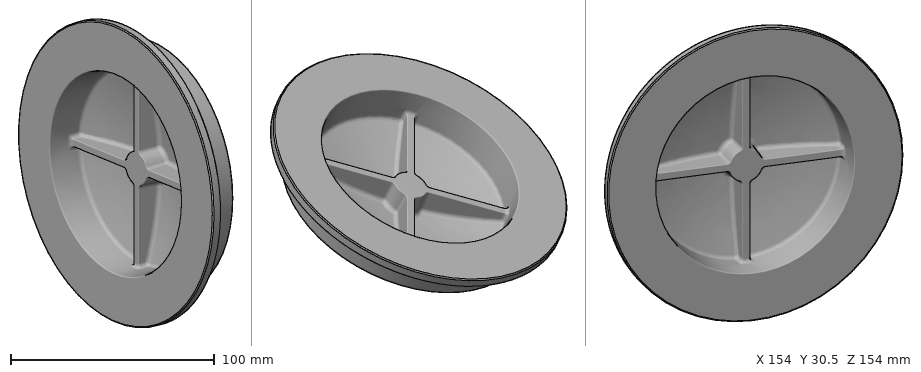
import cadquery as cq
import math


flange_radius = 77.0
flange_height = 4.8
flange_face_chamfer = 0.6
flange_shoulder_round = 1.5

drum_foot_radius = 65.3
drum_foot_height = 12.2
drum_foot_round = 1.8
drum_top_radius = 64.7
drum_top_height = 23.1
drum_top_round = 2.0

dome_radius = 50.8
dome_peak_height = 30.5
dome_thickness = 4.5

pocket_mouth_radius = 51.7
pocket_mouth_round = 0.6
pocket_floor_radius = 50.8

rib_face_height = 13.1
rib_width = 3.8
hub_radius = 8.6
rib_draft_angle = 3.0
rib_face_round = 0.5
rib_to_hub_round = 2.3
root_round = 2.2
rib_overlap = 1.5

dome_rise = dome_peak_height - drum_top_height
outer_sphere_radius = (dome_radius**2 + dome_rise**2) / (2 * dome_rise)
inner_sphere_radius = outer_sphere_radius - dome_thickness
sphere_center_height = dome_peak_height - outer_sphere_radius

edge_tolerance = 0.08


def sphere_height(sphere_radius, distance):
    """Y of a dome sphere at a distance from the Y axis."""
    return sphere_center_height + math.sqrt(sphere_radius**2 - distance**2)


def revolve_profile(profile):
    return profile.close().revolve(360, (0, 0, 0), (0, 1, 0))


def pick_circle(body, radius, height):
    """Largest circular edge that lies at a height within a radius."""
    reach = radius + edge_tolerance
    disc = cq.selectors.BoxSelector(
        (-reach, height - edge_tolerance, -reach),
        (reach, height + edge_tolerance, reach),
        boundingbox=True,
    )
    return body.edges(disc).edges(cq.selectors.RadiusNthSelector(-1))


def make_shell():
    """Solid flange, drum and dome."""
    arc_middle = dome_radius / 2
    profile = (
        cq.Workplane("XY")
        .lineTo(flange_radius, 0)
        .lineTo(flange_radius, flange_height)
        .lineTo(drum_foot_radius, drum_foot_height)
        .lineTo(drum_top_radius, drum_top_height)
        .lineTo(dome_radius, drum_top_height)
        .threePointArc(
            (arc_middle, sphere_height(outer_sphere_radius, arc_middle)),
            (0, dome_peak_height),
        )
    )
    shell = revolve_profile(profile)
    shell = pick_circle(shell, drum_top_radius, drum_top_height).fillet(drum_top_round)
    shell = pick_circle(shell, drum_foot_radius, drum_foot_height).fillet(drum_foot_round)
    shell = pick_circle(shell, flange_radius, flange_height).fillet(flange_shoulder_round)
    return pick_circle(shell, flange_radius, 0).chamfer(flange_face_chamfer)


def make_open_pocket():
    """Free space of the pocket before the ribs stand in it."""
    arc_middle = pocket_floor_radius / 2
    profile = (
        cq.Workplane("XY")
        .lineTo(pocket_mouth_radius, 0)
        .lineTo(pocket_floor_radius, sphere_height(inner_sphere_radius, pocket_floor_radius))
        .threePointArc(
            (arc_middle, sphere_height(inner_sphere_radius, arc_middle)),
            (0, dome_peak_height - dome_thickness),
        )
    )
    return revolve_profile(profile)


def make_ribs():
    """Cross of two ribs with a hub, widening with draft towards the dome."""
    face_plane = cq.Plane(origin=(0, rib_face_height, 0), xDir=(1, 0, 0), normal=(0, 1, 0))
    rib_length = 2 * (pocket_mouth_radius + rib_overlap)
    rib_end_height = dome_peak_height - dome_thickness + rib_overlap
    rib_depth = rib_end_height - rib_face_height

    def drafted(outline):
        return outline.extrude(rib_depth, taper=-rib_draft_angle)

    hub = drafted(cq.Workplane(face_plane).circle(hub_radius))
    rib_along_x = drafted(cq.Workplane(face_plane).rect(rib_length, rib_width))
    rib_along_z = drafted(cq.Workplane(face_plane).rect(rib_width, rib_length))
    ribs = hub.union(rib_along_x).union(rib_along_z)

    corner_reach = 2 * hub_radius
    corners = cq.selectors.BoxSelector(
        (-corner_reach, rib_face_height + rib_overlap, -corner_reach),
        (corner_reach, rib_end_height - rib_overlap, corner_reach),
    )
    ribs = ribs.edges(corners).fillet(rib_to_hub_round)
    return ribs.faces("<Y").edges().fillet(rib_face_round)


def make_pocket():
    """Free space around the ribs, rounded where wall, floor, ribs and hub meet."""
    pocket = make_open_pocket().cut(make_ribs())

    def joins_rib_to_wall(edge):
        center = edge.Center()
        on_wall = math.hypot(center.x, center.z) > pocket_floor_radius - rib_overlap
        return on_wall and center.y > rib_face_height - edge_tolerance

    floor_edges = pocket.faces("%SPHERE").edges().vals()
    wall_edges = [edge for edge in pocket.edges().vals() if joins_rib_to_wall(edge)]
    return pocket.newObject(floor_edges + wall_edges).fillet(root_round)


cap = make_shell().cut(make_pocket())
result = pick_circle(cap, pocket_mouth_radius, 0).fillet(pocket_mouth_round)